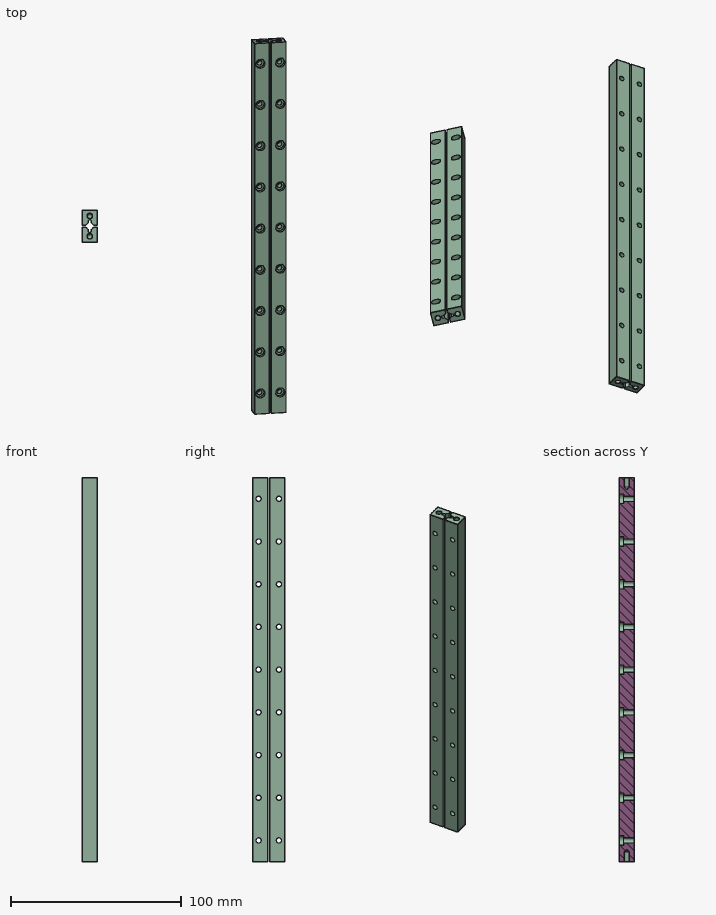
import cadquery as cq

length = 225.0
thickness = 9.0
rail_width = 9.0
gap = 1.0
edge_chamfer = 0.2

groove_width = 4.7
relief_width = 1.5
relief_depth = 3.2

hole_count = 9
hole_row_spacing = 12.0
hole_diameter = 3.0
counterbore_diameter = 5.5
counterbore_depth = 2.7

end_hole_diameter = 3.0
end_hole_rim = 0.2
end_hole_depth = 5.6

half_length = length / 2
inner_face = gap / 2
hole_offset = hole_row_spacing / 2
hole_pitch = length / hole_count


def rail_blank():
    """Full-length bar of the +Y rail, with every edge broken by a small chamfer."""
    blank = cq.Workplane("XY").box(thickness, rail_width, length)
    blank = blank.edges("|Z").chamfer(edge_chamfer)
    blank = blank.faces("<Z or >Z").edges().chamfer(edge_chamfer)
    return blank.translate((0, inner_face + rail_width / 2, 0))


def raceway():
    """V groove and relief slot cut along the whole inner face."""
    half_groove = groove_width / 2
    half_relief = relief_width / 2
    shoulder = inner_face + half_groove - half_relief
    root = inner_face + relief_depth
    return (
        cq.Workplane("XY", origin=(0, 0, -half_length))
        .moveTo(-half_groove, inner_face)
        .lineTo(-half_relief, shoulder)
        .lineTo(-half_relief, root - half_relief)
        .threePointArc((0, root), (half_relief, root - half_relief))
        .lineTo(half_relief, shoulder)
        .lineTo(half_groove, inner_face)
        .close()
        .extrude(length)
    )


def mounting_holes():
    """Row of through holes with counterbores on the -X face."""
    first_z = (hole_pitch - length) / 2
    centres = [(hole_offset, first_z + i * hole_pitch) for i in range(hole_count)]
    face = cq.Workplane("YZ", origin=(-thickness / 2, 0, 0)).pushPoints(centres)
    through = face.circle(hole_diameter / 2).extrude(thickness)
    counterbores = face.circle(counterbore_diameter / 2).extrude(counterbore_depth)
    return through.union(counterbores)


def end_holes():
    """Blind holes with chamfered rims and conical tips in the top and bottom end faces."""
    radius = end_hole_diameter / 2
    top = (
        cq.Workplane("XZ", origin=(0, hole_offset, half_length))
        .lineTo(radius + end_hole_rim, 0)
        .lineTo(radius, -end_hole_rim)
        .lineTo(radius, -end_hole_depth)
        .lineTo(0, -end_hole_depth - radius)
        .close()
        .revolve(360, (0, 0), (0, 1))
    )
    return top.union(top.mirror("XY"))


def rail():
    """Complete rail on the +Y side of the pair."""
    return rail_blank().cut(raceway()).cut(mounting_holes()).cut(end_holes())


left_rail = rail()
right_rail = left_rail.mirror("XZ")

result = cq.Compound.makeCompound([left_rail.val(), right_rail.val()])